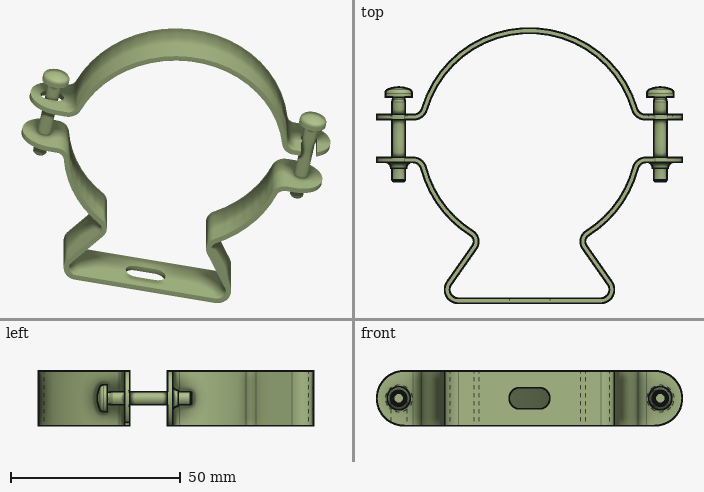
import cadquery as cq
import math

overall_length = 90.0
strap_width = 16.2
strap_thickness = 1.5
half_thickness = strap_thickness / 2

ring_outer_radius = 33.0
ring_radius = ring_outer_radius - half_thickness

upper_flange_gap = 6.0
lower_flange_gap = 5.0
flange_bend_radius = 2.5 + half_thickness

foot_bottom = -48.1
foot_bend_x = 21.0
foot_bend_radius = 2.5 + half_thickness
neck_bend_radius = 2.2 + half_thickness
foot_side_angle = 55.0
foot_slot_length = 12.0
foot_slot_width = 6.3

screw_x = 38.5
clearance_width = 4.8
clearance_slot_length = 7.0
shank_radius = 2.0
neck_radius = 1.8
tip_radius = 1.5
tip_y = -12.2
tip_chamfer_length = 0.5
neck_start_y = 11.3
neck_end_y = 12.0
head_base_y = 12.7
head_radius = 4.0
head_rim_y = 13.9
head_shoulder_radius = 3.2
head_shoulder_y = 14.9
head_top_y = 15.7

collar_radius = 2.3
collar_flare_radius = 3.0
collar_rim_radius = 3.4
collar_rim_height = 0.3
collar_height = 1.7


def polar(center, radius, angle):
    """Point at an angle in degrees on a circle."""
    turn = math.radians(angle)
    return (center[0] + radius * math.cos(turn), center[1] + radius * math.sin(turn))


def mirrored(point):
    """Point mirrored across the YZ plane."""
    return (-point[0], point[1])


def flange_bend(flange_mid_y):
    """Start, middle and end of the left bend that leads from a flange to the ring."""
    side = math.copysign(1, flange_mid_y)
    center_y = flange_mid_y + side * flange_bend_radius
    center_x = -math.sqrt((ring_radius + flange_bend_radius) ** 2 - center_y**2)
    center = (center_x, center_y)
    start_angle = -90 * side
    end_angle = math.degrees(math.atan2(-center_y, -center_x))
    return (
        polar(center, flange_bend_radius, start_angle),
        polar(center, flange_bend_radius, (start_angle + end_angle) / 2),
        polar(center, flange_bend_radius, end_angle),
    )


def sweep_strap(path):
    """Flat stock swept along its centre line, with its two ends rounded."""
    start = path.val().startPoint()
    section = cq.Workplane("YZ", origin=start.toTuple()).rect(strap_thickness, strap_width)
    strap = section.sweep(path)
    end_rounding = cq.Workplane("XZ").slot2D(overall_length, strap_width)
    return strap.intersect(end_rounding.extrude(overall_length, both=True))


def make_upper_strap():
    """Upper strap: a ring half with two flanges that slip over the screws."""
    flange_y = upper_flange_gap + half_thickness
    bend_start, bend_middle, bend_end = flange_bend(flange_y)
    path = (
        cq.Workplane("XY")
        .moveTo(-overall_length / 2, flange_y)
        .lineTo(*bend_start)
        .threePointArc(bend_middle, bend_end)
        .threePointArc((0, ring_radius), mirrored(bend_end))
        .threePointArc(mirrored(bend_middle), mirrored(bend_start))
        .lineTo(overall_length / 2, flange_y)
    )
    strap = sweep_strap(path)

    slot = (
        cq.Workplane("XZ")
        .center(screw_x, 0)
        .slot2D(clearance_slot_length, clearance_width)
        .extrude(-head_base_y)
    )
    hook = (
        cq.Workplane("XZ")
        .moveTo(-screw_x - clearance_width / 2, -strap_width)
        .vLine(strap_width)
        .threePointArc((-screw_x, clearance_width / 2), (-screw_x + clearance_width / 2, 0))
        .vLine(-strap_width)
        .close()
        .extrude(-head_base_y)
    )
    return strap.cut(slot).cut(hook)


def neck_bend_center(foot_bend_center):
    """Centre of the left neck bend, touching the ring from outside and the straight foot side."""
    reach = ring_radius + neck_bend_radius
    x, y = polar(foot_bend_center, foot_bend_radius + neck_bend_radius, foot_side_angle + 90)
    direction_x, direction_y = polar((0, 0), 1, foot_side_angle)
    along = x * direction_x + y * direction_y
    travel = -along - math.sqrt(along**2 - x**2 - y**2 + reach**2)
    return polar((x, y), travel, foot_side_angle)


def lower_strap_path():
    """Centre line of the lower strap, from the left flange round the foot to the right flange."""
    flange_y = -lower_flange_gap - half_thickness
    bend_start, bend_middle, bend_end = flange_bend(flange_y)

    base_y = foot_bottom + half_thickness
    foot = (-foot_bend_x, base_y + foot_bend_radius)
    side_normal = foot_side_angle + 90
    foot_end = polar(foot, foot_bend_radius, side_normal)
    foot_middle = polar(foot, foot_bend_radius, (side_normal + 270) / 2)
    foot_start = (-foot_bend_x, base_y)

    neck = neck_bend_center(foot)
    neck_angle = math.degrees(math.atan2(-neck[1], -neck[0]))
    side_angle = side_normal - 180
    neck_start = polar(neck, neck_bend_radius, neck_angle)
    neck_middle = polar(neck, neck_bend_radius, (neck_angle + side_angle) / 2)
    neck_end = polar(neck, neck_bend_radius, side_angle)

    flange_angle = math.degrees(math.atan2(-bend_end[1], -bend_end[0]))
    ring_middle = polar((0, 0), ring_radius, 180 + (flange_angle + neck_angle) / 2)

    return (
        cq.Workplane("XY")
        .moveTo(-overall_length / 2, flange_y)
        .lineTo(*bend_start)
        .threePointArc(bend_middle, bend_end)
        .threePointArc(ring_middle, neck_start)
        .threePointArc(neck_middle, neck_end)
        .lineTo(*foot_end)
        .threePointArc(foot_middle, foot_start)
        .lineTo(*mirrored(foot_start))
        .threePointArc(mirrored(foot_middle), mirrored(foot_end))
        .lineTo(*mirrored(neck_end))
        .threePointArc(mirrored(neck_middle), mirrored(neck_start))
        .threePointArc(mirrored(ring_middle), mirrored(bend_end))
        .threePointArc(mirrored(bend_middle), mirrored(bend_start))
        .lineTo(overall_length / 2, flange_y)
    )


def make_collar(x):
    """Collar that flares out to meet the outer face of the lower flange."""
    top = -lower_flange_gap - strap_thickness
    bottom = top - collar_height
    flare = collar_flare_radius - collar_radius
    flare_height = collar_height - collar_rim_height
    flare_end = (collar_flare_radius, bottom + flare_height)
    arc_radius = (flare**2 + flare_height**2) / (2 * flare)
    arc_center = (collar_radius + arc_radius, bottom)
    arc_turn = math.degrees(math.asin(flare_height / arc_radius))
    profile = (
        cq.Workplane("XY")
        .moveTo(0, bottom)
        .lineTo(collar_radius, bottom)
        .threePointArc(polar(arc_center, arc_radius, 180 - arc_turn / 2), flare_end)
        .lineTo(collar_rim_radius, top)
        .lineTo(0, top)
        .close()
    )
    return profile.revolve(360, (0, 0), (0, 1)).translate((x, 0, 0))


def make_screw(x):
    """Pan-head screw along Y with a chamfered tip and a thinner neck."""
    dome_height = head_top_y - head_shoulder_y
    dome_radius = (head_shoulder_radius**2 + dome_height**2) / (2 * dome_height)
    dome_center = (0, head_top_y - dome_radius)
    dome_turn = math.degrees(math.asin(head_shoulder_radius / dome_radius))
    profile = (
        cq.Workplane("XY")
        .moveTo(0, tip_y)
        .lineTo(tip_radius, tip_y)
        .lineTo(shank_radius, tip_y + tip_chamfer_length)
        .lineTo(shank_radius, neck_start_y)
        .lineTo(neck_radius, neck_end_y)
        .lineTo(neck_radius, head_base_y)
        .lineTo(head_radius, head_base_y)
        .lineTo(head_radius, head_rim_y)
        .tangentArcPoint((head_shoulder_radius, head_shoulder_y), relative=False)
        .threePointArc(polar(dome_center, dome_radius, 90 - dome_turn / 2), (0, head_top_y))
        .close()
    )
    return profile.revolve(360, (0, 0), (0, 1)).translate((x, 0, 0))


def make_lower_strap():
    """Lower strap with its foot, carrying both screws as one piece."""
    strap = sweep_strap(lower_strap_path())
    foot_slot = (
        cq.Workplane("XZ")
        .slot2D(foot_slot_length, foot_slot_width)
        .extrude(-foot_bottom)
    )
    strap = strap.cut(foot_slot)
    for x in (-screw_x, screw_x):
        strap = strap.union(make_collar(x)).union(make_screw(x))
    return strap


upper_strap = make_upper_strap()
lower_strap = make_lower_strap()
result = cq.Compound.makeCompound([upper_strap.val(), lower_strap.val()])